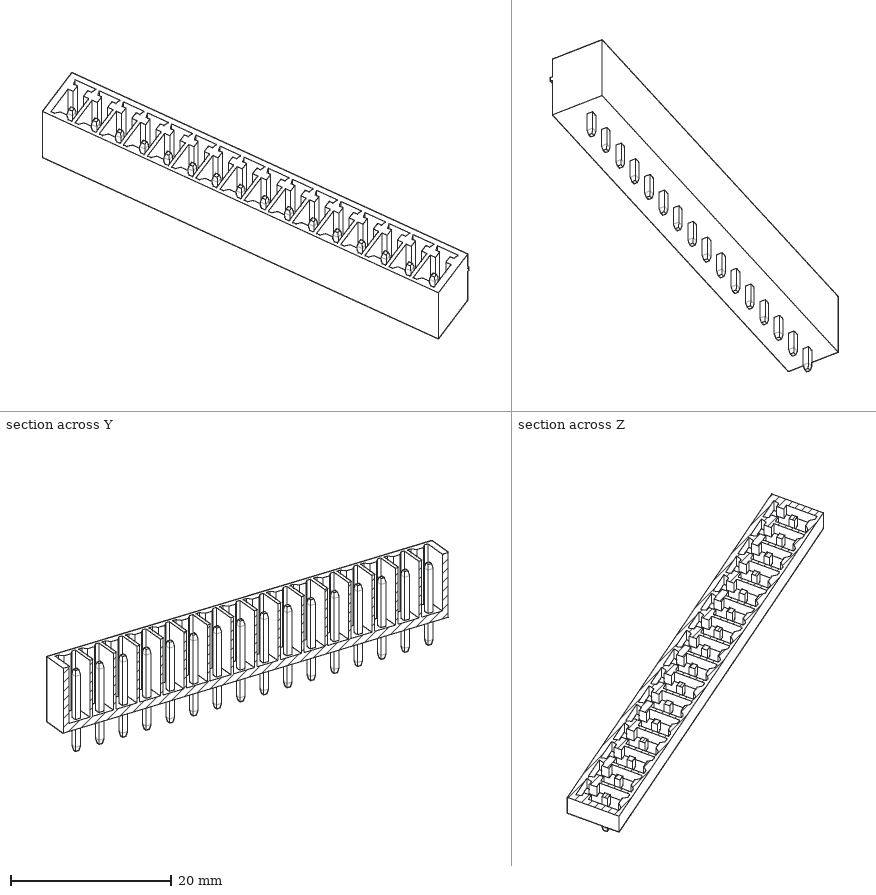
import cadquery as cq

pin_count = 16
pitch = 3.5

end_margin = 0.7
housing_length = pin_count * pitch + 2 * end_margin
housing_depth = 7.25
housing_height = 9.2

rib_depth = 0.3
rib_height = 0.6
rib_center_z = 6.0

floor_thickness = 1.2
socket_half_width = 1.5
socket_front_y = 0.5
shoulder_y = 4.7
neck_half_width = 0.75
neck_back_y = 5.75
dovetail_half_width = 1.3
socket_back_y = 6.45

key_base_half_width = 1.0
key_tip_half_width = 0.5
key_tip_y = 1.05

pin_y = 3.02
pin_width = 0.8
pin_bottom_z = -3.4
pin_top_z = 8.0
pin_taper_length = 0.7
pin_tip_width = 0.5


def make_housing():
    """Plain block with a locating rib along its back face."""
    block = cq.Workplane("XY").box(
        housing_length, housing_depth, housing_height, centered=(True, False, False)
    )
    rib = (
        cq.Workplane("XY")
        .box(housing_length, 2 * rib_depth, rib_height)
        .translate((0, housing_depth, rib_center_z))
    )
    return block.union(rib)


def make_socket():
    """Socket volume: wide chamber with a key on the front, a neck and a dovetail at the back."""
    right_side = [
        (key_tip_half_width, key_tip_y),
        (key_base_half_width, socket_front_y),
        (socket_half_width, socket_front_y),
        (socket_half_width, shoulder_y),
        (neck_half_width, shoulder_y),
        (neck_half_width, neck_back_y),
        (dovetail_half_width, neck_back_y),
        (socket_half_width, socket_back_y),
    ]
    left_side = [(-x, y) for x, y in reversed(right_side)]
    return (
        cq.Workplane("XY", origin=(0, 0, floor_thickness))
        .polyline(right_side + left_side)
        .close()
        .extrude(housing_height - floor_thickness)
    )


def make_pin_end(shank_end_z, tip_z):
    """Tapered end running from the full pin section to the small tip section."""
    return (
        cq.Workplane("XY", origin=(0, pin_y, shank_end_z))
        .rect(pin_width, pin_width)
        .workplane(offset=tip_z - shank_end_z)
        .rect(pin_tip_width, pin_tip_width)
        .loft()
    )


def make_pin():
    """Straight square pin tapered at both ends."""
    shank_bottom_z = pin_bottom_z + pin_taper_length
    shank_top_z = pin_top_z - pin_taper_length
    shank = (
        cq.Workplane("XY", origin=(0, pin_y, shank_bottom_z))
        .rect(pin_width, pin_width)
        .extrude(shank_top_z - shank_bottom_z)
    )
    return (
        shank.union(make_pin_end(shank_bottom_z, pin_bottom_z))
        .union(make_pin_end(shank_top_z, pin_top_z))
    )


row_start_x = -(pin_count - 1) * pitch / 2
pin_positions = [(row_start_x + i * pitch, 0, 0) for i in range(pin_count)]

socket = make_socket()
pin = make_pin()
result = make_housing()
for position in pin_positions:
    result = result.cut(socket.translate(position))
for position in pin_positions:
    result = result.union(pin.translate(position))